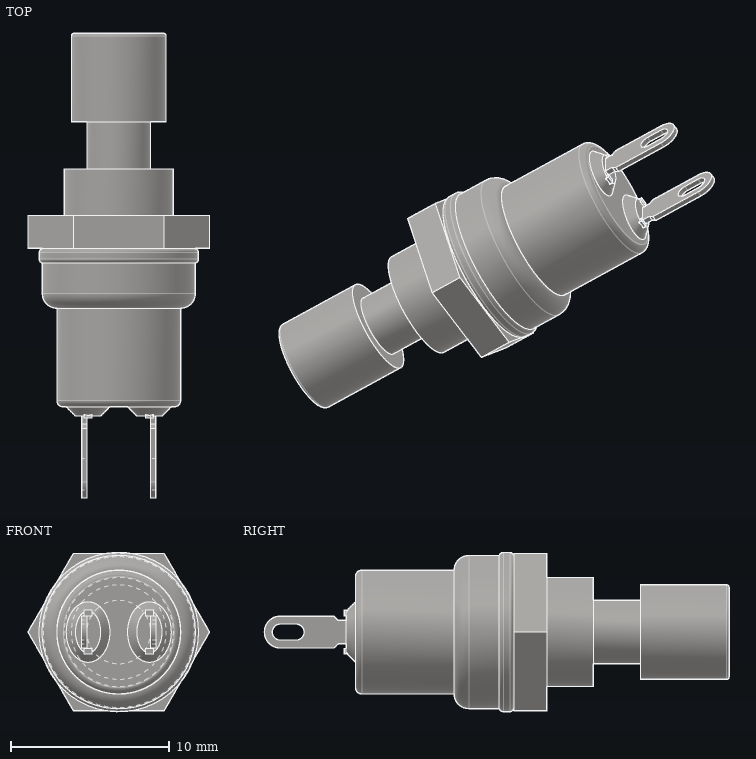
import cadquery as cq

CAP_END = 5.6
NECK_END = 8.58
BUSHING_END = 11.52
NUT_END = 13.6
WASHER_END = 14.55
COLLAR_END = 17.4
BODY_END = 23.63
TERMINAL_END = 29.4

CAP_DIA = 6.0
NECK_DIA = 4.03
BUSHING_DIA = 6.9
WASHER_DIA = 10.08
COLLAR_DIA = 9.7
BODY_DIA = 7.85

CAP_ROUND = 0.18
WASHER_ROUND = 0.25
COLLAR_ROUND = 0.95
BODY_ROUND = 0.4

NUT_CORNERS = 11.5

BOSS_OFFSET = 1.95
BOSS_WIDTH = 2.75
BOSS_LENGTH = 3.82
BOSS_HEIGHT = 0.6
BOSS_TOP_WIDTH = BOSS_WIDTH - 2 * BOSS_HEIGHT
BOSS_TOP_LENGTH = BOSS_LENGTH - 2 * BOSS_HEIGHT
TAB_WIDTH = 0.5
TAB_SPAN = 2.75
TAB_LENGTH = 0.35
TAB_START = 0.45
TAB_HEIGHT = 0.7

TERMINAL_OFFSET = 2.17
TERMINAL_THICKNESS = 0.35
TERMINAL_WIDTH = 2.03
TERMINAL_NECK_WIDTH = 1.5
SHOULDER_START = 24.72
SHOULDER_END = 24.98
EYELET_LENGTH = 2.0
EYELET_WIDTH = 1.0
EMBED = 0.3


def plane_at(station, x=0):
    """Plane facing -Y at the given station; its local axes are X and Z."""
    return cq.Workplane("XZ", origin=(x, -station, 0))


def cylinder(diameter, start, end):
    return plane_at(start).circle(diameter / 2).extrude(end - start)


def switch_body():
    cap = cylinder(CAP_DIA, 0, CAP_END).faces(">Y").edges().fillet(CAP_ROUND)
    neck = cylinder(NECK_DIA, CAP_END, NECK_END)
    bushing = cylinder(BUSHING_DIA, NECK_END, BUSHING_END)
    nut = plane_at(BUSHING_END).polygon(6, NUT_CORNERS).extrude(NUT_END - BUSHING_END)
    washer = cylinder(WASHER_DIA, NUT_END, WASHER_END).edges().fillet(WASHER_ROUND)
    collar = cylinder(COLLAR_DIA, WASHER_END - EMBED, COLLAR_END).faces("<Y").edges().fillet(COLLAR_ROUND)
    housing = cylinder(BODY_DIA, COLLAR_END, BODY_END).faces("<Y").edges().fillet(BODY_ROUND)
    return cap.union(neck).union(bushing).union(nut).union(washer).union(collar).union(housing)


def boss(side):
    x = side * BOSS_OFFSET
    cone = (
        plane_at(BODY_END, x)
        .ellipse(BOSS_WIDTH / 2, BOSS_LENGTH / 2)
        .workplane(offset=BOSS_HEIGHT)
        .ellipse(BOSS_TOP_WIDTH / 2, BOSS_TOP_LENGTH / 2)
        .loft(ruled=True)
    )
    tab_center = (TAB_SPAN - TAB_LENGTH) / 2
    tabs = (
        plane_at(BODY_END + TAB_START, x)
        .pushPoints([(0, tab_center), (0, -tab_center)])
        .rect(TAB_WIDTH, TAB_LENGTH)
        .extrude(TAB_HEIGHT - TAB_START)
    )
    return cone.union(tabs)


def terminal(side):
    half = TERMINAL_WIDTH / 2
    neck = TERMINAL_NECK_WIDTH / 2
    root = -(BODY_END - EMBED)
    tip_center = -(TERMINAL_END - half)
    eyelet_center = tip_center + (EYELET_LENGTH - EYELET_WIDTH) / 2
    x = side * TERMINAL_OFFSET - TERMINAL_THICKNESS / 2
    blade = (
        cq.Workplane("YZ", origin=(x, 0, 0))
        .moveTo(root, neck)
        .lineTo(-SHOULDER_START, neck)
        .lineTo(-SHOULDER_END, half)
        .lineTo(tip_center, half)
        .threePointArc((-TERMINAL_END, 0), (tip_center, -half))
        .lineTo(-SHOULDER_END, -half)
        .lineTo(-SHOULDER_START, -neck)
        .lineTo(root, -neck)
        .close()
        .extrude(TERMINAL_THICKNESS)
    )
    eyelet = (
        cq.Workplane("YZ", origin=(x, 0, 0))
        .center(eyelet_center, 0)
        .slot2D(EYELET_LENGTH, EYELET_WIDTH)
        .extrude(TERMINAL_THICKNESS)
    )
    return blade.cut(eyelet)


result = switch_body()
for side in (-1, 1):
    result = result.union(boss(side)).union(terminal(side))